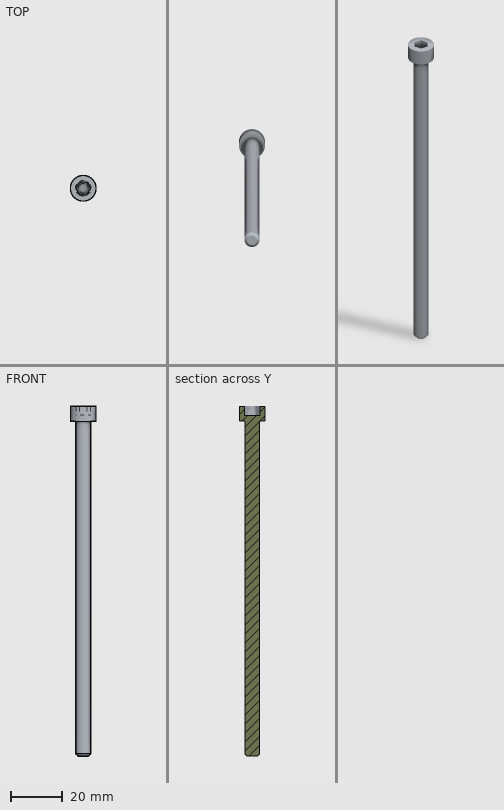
import cadquery as cq
import math

total_length = 136.0
head_diameter = 10.0
shank_diameter = 6.0
head_height = shank_diameter
thread_length = 24.0
tip_chamfer = 1.1
socket_across_flats = 5.0
socket_depth = 3.5

head_bottom = total_length - head_height


def turned_body():
    """Head, plain shank, threaded length and chamfered tip as one revolved profile."""
    head_radius = head_diameter / 2
    shank_radius = shank_diameter / 2
    tip_radius = shank_radius - tip_chamfer
    profile = [
        (0, 0),
        (tip_radius, 0),
        (shank_radius, tip_chamfer),
        (shank_radius, thread_length),
        (shank_radius, head_bottom),
        (head_radius, head_bottom),
        (head_radius, total_length),
        (0, total_length),
    ]
    return cq.Workplane("XZ").polyline(profile).close().revolve(360, (0, 0), (0, 1))


def hex_socket():
    """Hexagonal key socket with two corners on the X axis."""
    across_corners = socket_across_flats / math.cos(math.pi / 6)
    return (
        cq.Workplane("XY", origin=(0, 0, total_length))
        .polygon(6, across_corners)
        .extrude(-socket_depth)
    )


result = turned_body().cut(hex_socket())